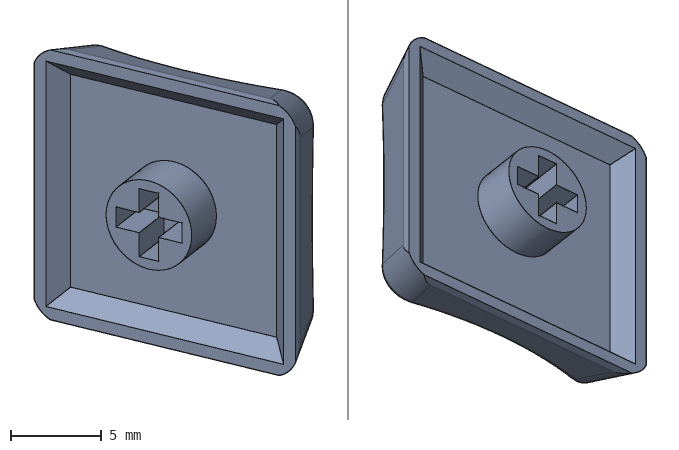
import cadquery as cq
import math

cap_width = 16.5
skirt_height = 0.53
wall_taper = 15.0
corner_radius = 1.98
blank_height = 4.95

dish_floor = 2.08
dish_radius_x = 17.82
dish_radius_z = 69.3
dish_half_width = 9.9
dish_sweep = 20.0
lip_radius = 0.5

cavity_opening = 15.0
cavity_floor_width = 13.0
cavity_depth = 1.0

stem_diameter = 5.4
stem_reach = 1.78
cross_length = 4.15
cross_arm = 1.24


def plane_at(y):
    """XZ workplane at height y, extruding towards +Y."""
    return cq.Workplane(cq.Plane(origin=(0, y, 0), xDir=(1, 0, 0), normal=(0, 1, 0)))


def is_level(edge):
    """True for an edge lying at one height above the rim."""
    return abs(edge.startPoint().y - edge.endPoint().y) < blank_height / 2


def tapered_block():
    """Tapered blank with round corners, trimmed to a straight band at the rim."""
    base_width = cap_width + 2 * skirt_height * math.tan(math.radians(wall_taper))
    frustum = plane_at(0).rect(base_width, base_width).extrude(blank_height, taper=wall_taper)
    frustum = frustum.edges().filter(lambda edge: not is_level(edge)).fillet(corner_radius)
    band = plane_at(0).rect(cap_width, cap_width).extrude(blank_height)
    return frustum.intersect(band)


def dish_cutter():
    """Circular segment swept about a distant axis, giving a doubly curved dish."""
    segment_height = dish_radius_x - math.sqrt(dish_radius_x**2 - dish_half_width**2)
    chord_y = dish_floor + segment_height
    axis_y = dish_floor + dish_radius_z
    segment = (
        cq.Workplane("XY")
        .moveTo(-dish_half_width, chord_y)
        .threePointArc((0, dish_floor), (dish_half_width, chord_y))
        .close()
    )
    swept = segment.revolve(dish_sweep, (0, axis_y, 0), (1, axis_y, 0))
    return swept.rotate((0, axis_y, 0), (1, axis_y, 0), -dish_sweep / 2)


def cavity():
    """Shallow square recess narrowing from the rim to its floor."""
    inset = (cavity_opening - cavity_floor_width) / 2
    taper = math.degrees(math.atan(inset / cavity_depth))
    return plane_at(0).rect(cavity_opening, cavity_opening).extrude(cavity_depth, taper=taper)


def stem():
    """Round stem from the cavity floor, with a cross socket along its length."""
    length = stem_reach + cavity_depth
    post = plane_at(-stem_reach).circle(stem_diameter / 2).extrude(length)
    for size in ((cross_length, cross_arm), (cross_arm, cross_length)):
        post = post.cut(plane_at(-stem_reach).rect(*size).extrude(length))
    return post


body = tapered_block().cut(dish_cutter())
dish_face = cq.selectors.NearestToPointSelector((0, dish_floor, 0))
body = body.faces(dish_face).edges().fillet(lip_radius)

result = body.cut(cavity()).union(stem())